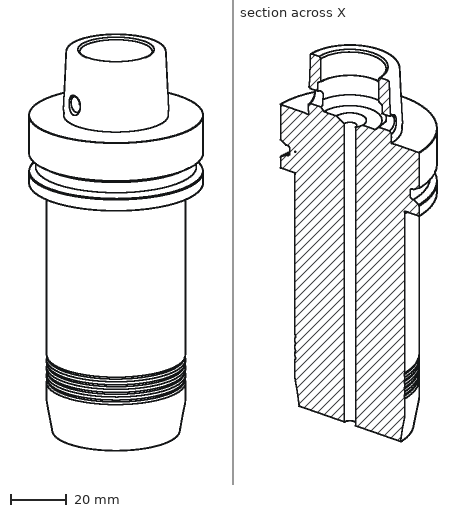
import cadquery as cq
import math

total_height = 144.9

shank_height = 24.9
shank_base_radius = 19.0
shank_top_radius = 18.0
shank_top_round = 1.0
neck_radius = 18.8
neck_height = 1.2
taper_start = 2.2

recess_radius = 20.3
recess_floor_radius = 19.3
recess_depth = 0.1

flange_radius = 31.5
flange_height = 26.0
flange_chamfer = 0.1

grip_middle_drop = 17.8
channel_width = 3.9
channel_floor_radius = 27.4
channel_mouth_radius = 29.0
channel_round = 0.9
flank_angle = 30.0
lower_lip_chamfer_height = 0.5
lower_lip_chamfer_depth = 0.1

body_radius = 25.0
body_top_chamfer_height = 0.7
body_top_chamfer_depth = 0.3
nose_height = 11.3
nose_radius = 23.0

ring_count = 4
ring_pitch = 2.9
ring_width = 1.7
ring_depth = 0.5
first_ring_height = 19.1

bore_radius = 13.0
bore_chamfer = 0.7
bore_depth = 10.1
chamber_radius = 14.5
chamber_depth = 18.8
shoulder_angle = 30.0
seat_radius = 11.6
funnel_radius = 6.0
coolant_radius = 2.5
funnel_depth = 2.0

cross_hole_radius = 2.9
cross_hole_drop = 17.4
countersink_radius = 3.6
countersink_distance = 18.7

cut_clearance = 1.5

flange_top = total_height - shank_height
flange_bottom = flange_top - flange_height


def revolve_profile(points):
    """Turn a closed (radius, height) outline about the Z axis."""
    return cq.Workplane("XZ").polyline(points).close().revolve(360, (0, 0, 0), (0, 1, 0))


def make_shank():
    base = flange_top - recess_depth
    shank = revolve_profile([
        (0, base),
        (neck_radius, base),
        (neck_radius, flange_top + neck_height),
        (shank_base_radius, flange_top + taper_start),
        (shank_top_radius, total_height),
        (0, total_height),
    ])
    return shank.faces(">Z").edges().fillet(shank_top_round)


def make_grip_channel():
    channel = (
        cq.Workplane("XY")
        .workplane(offset=flange_top - grip_middle_drop - channel_width / 2)
        .circle(flange_radius + cut_clearance)
        .extrude(channel_width)
    )
    core = (
        cq.Workplane("XY")
        .workplane(offset=flange_bottom)
        .circle(channel_floor_radius)
        .extrude(flange_height)
    )
    floor_edges = cq.selectors.RadiusNthSelector(0)
    return channel.cut(core).edges(floor_edges).fillet(channel_round)


def make_grip_flanks():
    middle = flange_top - grip_middle_drop
    half_channel = channel_width / 2
    rise = (flange_radius - channel_mouth_radius) * math.tan(math.radians(flank_angle))
    half_mouth = half_channel + rise
    return revolve_profile([
        (channel_mouth_radius, middle + half_channel),
        (flange_radius, middle + half_mouth),
        (flange_radius, middle - half_mouth - lower_lip_chamfer_height),
        (flange_radius - lower_lip_chamfer_depth, middle - half_mouth),
        (channel_mouth_radius, middle - half_channel),
    ])


def make_flange():
    flange = (
        cq.Workplane("XY")
        .workplane(offset=flange_bottom)
        .circle(flange_radius)
        .extrude(flange_height)
        .faces(">Z or <Z")
        .edges()
        .chamfer(flange_chamfer)
    )
    face_recess = revolve_profile([
        (0, flange_top),
        (recess_radius, flange_top),
        (recess_floor_radius, flange_top - recess_depth),
        (0, flange_top - recess_depth),
    ])
    return flange.cut(face_recess).cut(make_grip_channel()).cut(make_grip_flanks())


def make_body():
    return revolve_profile([
        (0, 0),
        (nose_radius, 0),
        (body_radius, nose_height),
        (body_radius, flange_bottom - body_top_chamfer_height),
        (body_radius - body_top_chamfer_depth, flange_bottom),
        (0, flange_bottom),
    ])


def make_ring_groove(height):
    return revolve_profile([
        (body_radius, height - ring_width / 2),
        (body_radius - ring_depth, height),
        (body_radius, height + ring_width / 2),
    ])


def make_bore():
    shoulder = total_height - bore_depth
    shoulder_drop = (chamber_radius - bore_radius) * math.tan(math.radians(shoulder_angle))
    chamber_end = total_height - chamber_depth
    seat_floor = chamber_end - (chamber_radius - seat_radius)
    return revolve_profile([
        (0, 0),
        (coolant_radius, 0),
        (coolant_radius, seat_floor - funnel_depth),
        (funnel_radius, seat_floor),
        (seat_radius, seat_floor),
        (chamber_radius, chamber_end),
        (chamber_radius, shoulder - shoulder_drop),
        (bore_radius, shoulder),
        (bore_radius, total_height - bore_chamfer),
        (bore_radius + bore_chamfer, total_height),
        (0, total_height),
    ])


def make_cross_hole():
    reach = shank_base_radius + cut_clearance
    mouth_radius = countersink_radius + reach - countersink_distance
    countersink_start = reach - (mouth_radius - cross_hole_radius)
    half_outline = [
        (0, -reach),
        (mouth_radius, -reach),
        (cross_hole_radius, -countersink_start),
        (cross_hole_radius, countersink_start),
        (mouth_radius, reach),
        (0, reach),
    ]
    hole = cq.Workplane("XY").polyline(half_outline).close().revolve(360, (0, 0, 0), (0, 1, 0))
    return hole.translate((0, 0, total_height - cross_hole_drop))


result = make_body().union(make_flange()).union(make_shank())
for ring in range(ring_count):
    result = result.cut(make_ring_groove(first_ring_height + ring * ring_pitch))
result = result.cut(make_bore()).cut(make_cross_hole())